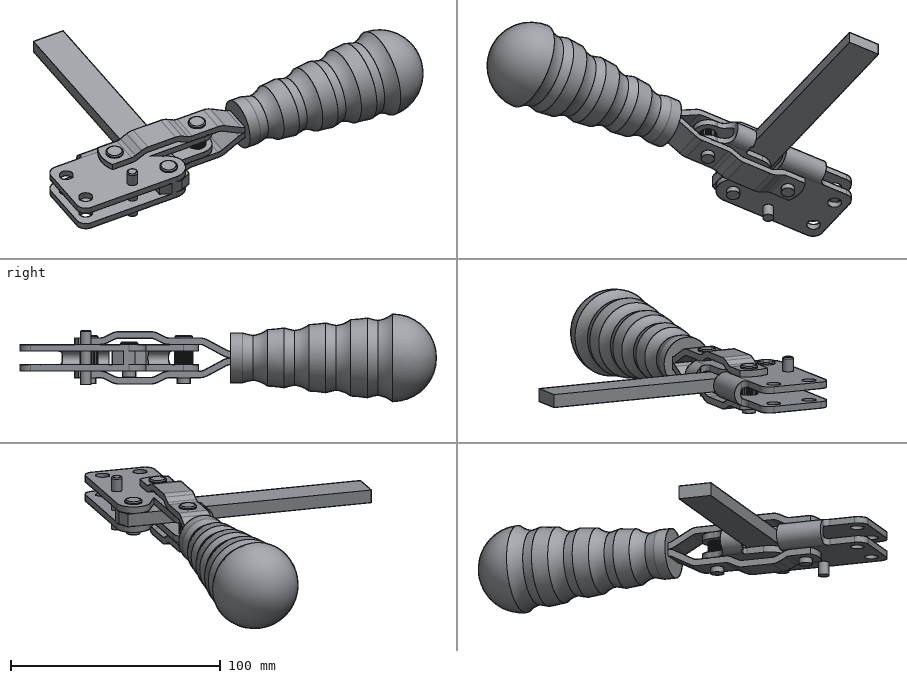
import cadquery as cq
import math

sheet = 3.2
plate_outer = 2 * sheet
lever_flat = 3 * sheet
lever_bulge = 12.5

base_pivot = (0, 33.0)
handle_pivot = (0, 78.0)
bar_pivot = (18.6, 52.0)
stop_pin_place = (20.0, 31.3)

base_left = -8
base_right = 26.8
base_shoulder = 42.5
base_slope_start = 3.8
base_corner = 5.0
base_tip_radius = base_right - bar_pivot[0]
base_web_center = -7.7
base_web_bottom = 20.0
base_web_blend = 2.5
mount_hole = 6.5
mount_hole_pitch = 18.8
mount_hole_y = 6.5

bar_left = -98.2
bar_bottom = 43.8
bar_top = bar_pivot[1] + base_tip_radius
bar_end_chamfer_x = 2.5
bar_end_chamfer_y = 5.4

link_web_center = -9.0
link_half_width = 7.1
link_bottom = 43.2
link_corner = 8.3
link_web_top = 70.6
link_blend = 6.3
relief_left = -12.3
relief_radius = 1.2

strap_width = 14.5
strap_half_width = strap_width / 2
strap_end = 26.0
strap_end_rise = 1.8
bulge_start = 45.2
bulge_end = 64.0
bulge_ramp = 6
strap_closing_start = 87.5
strap_closing_end = 99.4
strap_grip_depth = 10
strap_bend_inside = 4.8
strap_bend_outside = strap_bend_inside + sheet

grip_axis = 0.2
grip_bottom = 100.2
grip_top = 198.4
dome_diameter = 41.9
dome_radius = dome_diameter / 2
ring_count = 4
ring_pitch = 19.8
ring_first_y = 165.5
ring_first_radius = 19.0
ring_radius_step = 2.4
ring_shoulder_drop = 8
ring_shoulder_inset = 0.8
neck_drop = 14.9
neck_inset = 3.5
neck_arc_depth = 0.5

pin_radius = 3.2
pin_head_radius = 4.2
pin_head_height = 1.2
pin_chamfer = 0.5
pin_tail = 2.8
spacer_radius = 4.4
spacer_teeth = 30
spacer_tooth_depth = 0.4
stop_pin_radius = 2.5
stop_pin_top = 13.0
stop_pin_bottom = -12.7


def mirrored(body):
    """Body together with its copy on the other side of Z = 0."""
    return body.union(body.mirror("XY"))


def cylinder(place, radius, z_low, z_high):
    return cq.Workplane("XY", origin=(*place, z_low)).circle(radius).extrude(z_high - z_low)


def folded_sheet(web_center_x, outline):
    """Sheet folded into a U around a rounded -X web and trimmed to a plan outline."""
    leg_end = base_right
    channel = (
        cq.Workplane("XZ")
        .moveTo(leg_end, plate_outer)
        .lineTo(web_center_x, plate_outer)
        .threePointArc((web_center_x - plate_outer, 0), (web_center_x, -plate_outer))
        .lineTo(leg_end, -plate_outer)
        .lineTo(leg_end, -sheet)
        .lineTo(web_center_x, -sheet)
        .threePointArc((web_center_x - sheet, 0), (web_center_x, sheet))
        .lineTo(leg_end, sheet)
        .close()
        .extrude(-handle_pivot[1] - 2 * link_half_width)
    )
    return channel.intersect(outline.extrude(plate_outer, both=True))


def make_base():
    dx = bar_pivot[0] - base_slope_start
    dy = bar_pivot[1] - base_shoulder
    slope = math.atan2(dy, dx) + math.asin(base_tip_radius / math.hypot(dx, dy))
    tangent = (
        bar_pivot[0] - base_tip_radius * math.sin(slope),
        bar_pivot[1] + base_tip_radius * math.cos(slope),
    )
    blend_mid = base_web_blend * math.sqrt(0.5)
    blend_x = base_left - base_web_blend
    blend_y = base_web_bottom - base_web_blend
    web_edge = base_web_center - plate_outer
    outline = (
        cq.Workplane("XY")
        .moveTo(base_left + base_corner, 0)
        .lineTo(base_right - base_corner, 0)
        .radiusArc((base_right, base_corner), -base_corner)
        .lineTo(base_right, bar_pivot[1])
        .threePointArc(
            (
                bar_pivot[0] + base_tip_radius * math.cos(math.pi / 4),
                bar_pivot[1] + base_tip_radius * math.sin(math.pi / 4),
            ),
            (bar_pivot[0], bar_top),
        )
        .threePointArc(
            (
                bar_pivot[0] - base_tip_radius * math.sin(slope / 2),
                bar_pivot[1] + base_tip_radius * math.cos(slope / 2),
            ),
            tangent,
        )
        .lineTo(base_slope_start, base_shoulder)
        .lineTo(web_edge, base_shoulder)
        .lineTo(web_edge, base_web_bottom)
        .lineTo(blend_x, base_web_bottom)
        .threePointArc((blend_x + blend_mid, blend_y + blend_mid), (base_left, blend_y))
        .lineTo(base_left, base_corner)
        .radiusArc((base_left + base_corner, 0), -base_corner)
        .close()
    )
    holes = cq.Workplane("XY").pushPoints([(0, mount_hole_y), (mount_hole_pitch, mount_hole_y)])
    holes = holes.circle(mount_hole / 2).extrude(plate_outer, both=True)
    return folded_sheet(base_web_center, outline).cut(holes)


def make_bar():
    return (
        cq.Workplane("XY", origin=(0, 0, -sheet))
        .moveTo(bar_left, bar_bottom)
        .lineTo(base_right - bar_end_chamfer_x, bar_bottom)
        .lineTo(base_right, bar_bottom + bar_end_chamfer_y)
        .lineTo(base_right, bar_top - bar_end_chamfer_y)
        .lineTo(base_right - bar_end_chamfer_x, bar_top)
        .lineTo(bar_left, bar_top)
        .close()
        .extrude(2 * sheet)
    )


def make_link():
    web_edge = link_web_center - plate_outer
    blend_mid = link_blend * math.sqrt(0.5)
    blend_x = -link_half_width - link_blend
    blend_y = link_web_top + link_blend
    outline = (
        cq.Workplane("XY")
        .moveTo(link_half_width, link_bottom)
        .lineTo(link_half_width, handle_pivot[1])
        .threePointArc((0, handle_pivot[1] + link_half_width), (-link_half_width, handle_pivot[1]))
        .lineTo(-link_half_width, blend_y)
        .threePointArc((blend_x + blend_mid, blend_y - blend_mid), (blend_x, link_web_top))
        .lineTo(web_edge, link_web_top)
        .lineTo(web_edge, bar_top)
        .lineTo(relief_left, bar_top)
        .radiusArc((relief_left + relief_radius, bar_top + relief_radius), relief_radius)
        .lineTo(-link_half_width - relief_radius, bar_top + relief_radius)
        .radiusArc((-link_half_width, bar_top), relief_radius)
        .lineTo(-link_half_width, link_bottom + link_corner)
        .radiusArc((link_corner - link_half_width, link_bottom), -link_corner)
        .close()
    )
    return folded_sheet(link_web_center, outline)


def make_lever():
    buried = grip_bottom + strap_grip_depth
    outer = [
        (strap_end, lever_flat),
        (bulge_start - bulge_ramp, lever_flat),
        (bulge_start, lever_bulge),
        (bulge_end, lever_bulge),
        (bulge_end + bulge_ramp, lever_flat),
        (strap_closing_start, lever_flat),
        (strap_closing_end, sheet),
        (buried, sheet),
    ]
    slopes = [math.atan2(z2 - z1, y2 - y1) for (y1, z1), (y2, z2) in zip(outer, outer[1:])]
    slopes = slopes[:1] + slopes + slopes[-1:]
    inner = []
    for (y, z), before, after in zip(outer, slopes, slopes[1:]):
        middle = (before + after) / 2
        mitre = sheet / math.cos((after - before) / 2)
        inner.append((y + mitre * math.sin(middle), z - mitre * math.cos(middle)))
    strap = (
        cq.Workplane("YZ", origin=(-strap_half_width, 0, 0))
        .polyline(outer + inner[::-1])
        .close()
        .extrude(2 * strap_half_width)
    )
    for corner in range(1, len(outer) - 1):
        is_convex = slopes[corner + 1] < slopes[corner]
        outer_radius = strap_bend_outside if is_convex else strap_bend_inside
        inner_radius = strap_bend_inside if is_convex else strap_bend_outside
        strap = strap.edges(cq.NearestToPointSelector((0, *outer[corner]))).fillet(outer_radius)
        strap = strap.edges(cq.NearestToPointSelector((0, *inner[corner]))).fillet(inner_radius)
    outline = (
        cq.Workplane("XY")
        .moveTo(-strap_half_width, strap_end + strap_end_rise)
        .threePointArc((0, strap_end), (strap_half_width, strap_end + strap_end_rise))
        .lineTo(strap_half_width, buried)
        .lineTo(-strap_half_width, buried)
        .close()
        .extrude(lever_bulge)
    )
    return mirrored(strap.intersect(outline))


def make_grip():
    last_radius = ring_first_radius - (ring_count - 1) * ring_radius_step
    profile = cq.Workplane("XY").moveTo(0, grip_bottom).lineTo(last_radius, grip_bottom)
    for ring in reversed(range(ring_count)):
        crest_y = ring_first_y - ring * ring_pitch
        crest = ring_first_radius - ring * ring_radius_step
        if ring < ring_count - 1:
            shoulder = (crest - ring_shoulder_inset, crest_y - ring_shoulder_drop)
            neck = (crest - neck_inset, crest_y - neck_drop)
            hollow = ((shoulder[0] + neck[0]) / 2 - neck_arc_depth, (shoulder[1] + neck[1]) / 2)
            profile = profile.lineTo(*neck).threePointArc(hollow, shoulder)
        profile = profile.lineTo(crest, crest_y)
    dome_y = grip_top - dome_radius
    top_neck = (ring_first_radius + ring_radius_step - neck_inset, ring_first_y + ring_pitch - neck_drop)
    diagonal = dome_radius * math.sqrt(0.5)
    hollow = ((top_neck[0] + dome_radius) / 2 - neck_arc_depth, (top_neck[1] + dome_y) / 2)
    profile = (
        profile.lineTo(*top_neck)
        .threePointArc(hollow, (dome_radius, dome_y))
        .threePointArc((diagonal, dome_y + diagonal), (0, grip_top))
        .close()
    )
    return profile.revolve(360, (0, 0, 0), (0, 1, 0)).translate((grip_axis, 0, 0))


def make_rivet(place, seat):
    """Headed pin with the head on the +Z seat and a plain tail beyond the -Z seat."""
    shank = cylinder(place, pin_radius, -seat - pin_tail, seat)
    head = cylinder(place, pin_head_radius, seat, seat + pin_head_height)
    head = head.faces(">Z").chamfer(pin_chamfer)
    return shank.union(head)


def make_spacer(place):
    """Serrated sleeve between the plates, with its teeth along Z."""
    outline = []
    for corner in range(2 * spacer_teeth):
        radius = spacer_radius - spacer_tooth_depth * (corner % 2)
        angle = math.pi * corner / spacer_teeth
        outline.append((radius * math.cos(angle), radius * math.sin(angle)))
    return cq.Workplane("XY", origin=(*place, 0)).polyline(outline).close().extrude(sheet, both=True)


def make_stop_pin():
    pin = cylinder(stop_pin_place, stop_pin_radius, stop_pin_bottom, stop_pin_top)
    return pin.faces(">Z").chamfer(pin_chamfer)


result = make_base()
result = result.union(make_bar())
result = result.union(make_link())
result = result.union(make_lever())
result = result.union(make_grip())
for pivot in (base_pivot, handle_pivot):
    result = result.union(make_rivet(pivot, lever_flat))
    result = result.union(make_spacer(pivot))
result = result.union(make_rivet(bar_pivot, plate_outer))
result = result.union(make_stop_pin())